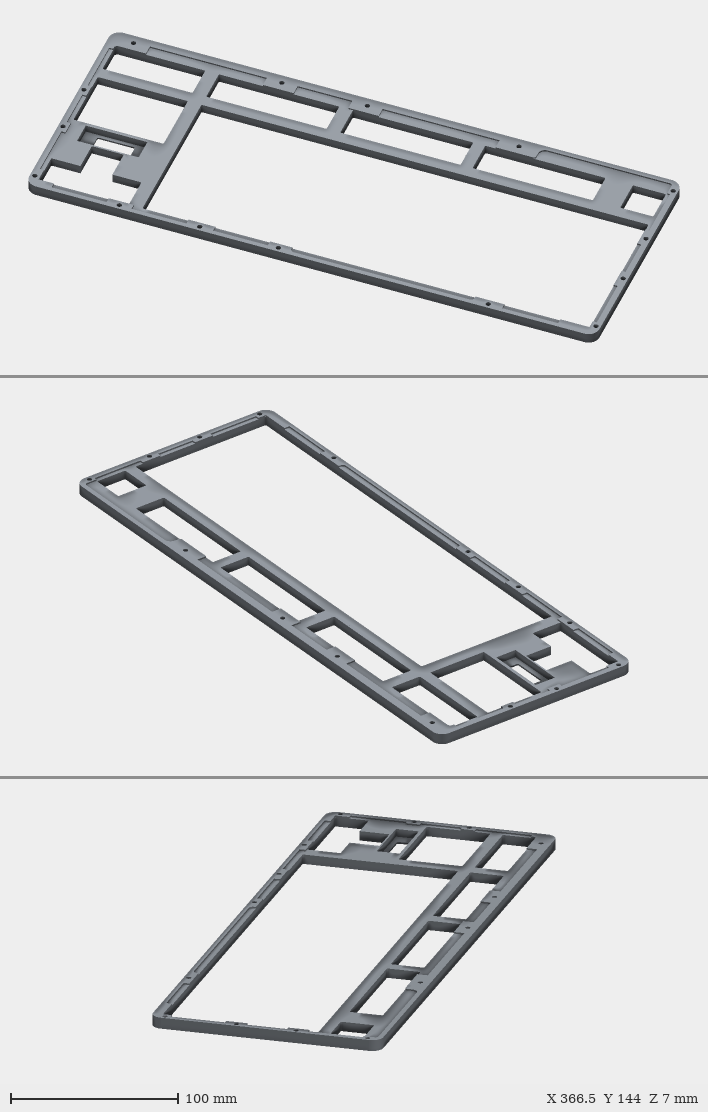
import cadquery as cq
LENGTH = 366.5
WIDTH = 144.0
THICKNESS = 7.0
CORNER_RADIUS = 7.0

STEP_DEPTH = 1.0
FLOOR_LEVEL = THICKNESS - STEP_DEPTH

INNER_LEFT = -177.0
INNER_RIGHT = 177.0
INNER_TOP = 60.0
INNER_BOTTOM = -65.5
INNER_CORNER_RADIUS = 2.2

UPPER_BAR_TOP = 39.2
UPPER_BAR_BOTTOM = 31.5
WINDOW_CORNER_RADIUS = 0.7
COLUMN_LEFT = -119.0
COLUMN_RIGHT = -110.3
UPPER_WINDOWS = [
    (INNER_LEFT, COLUMN_LEFT),
    (COLUMN_RIGHT, -33.0),
    (-24.2, 53.0),
    (61.0, 138.0),
    (155.7, INNER_RIGHT),
]

ISLAND_TOP = -8.5
ISLAND_BOTTOM = -44.7
NOTCH_LEFT, NOTCH_RIGHT, NOTCH_TOP = -158.3, -137.8, -26.0
RECESS_LEFT, RECESS_RIGHT = -168.2, -128.5
RECESS_BOTTOM, RECESS_TOP = -25.0, -10.5
RECESS_FLOOR = 1.0
SLOT_LEFT, SLOT_RIGHT = -159.8, -135.5
SLOT_BOTTOM, SLOT_TOP = -21.5, -13.0
SLOT_CORNER_RADIUS = 1.0

POCKET_TOP = 66.7
POCKET_BOTTOM = -69.3
POCKET_LEFT = -179.5
POCKET_RIGHT = 179.5
TOP_POCKETS = [(-157.2, -82.0), (-62.3, -27.0), (-7.7, 67.5)]
BOTTOM_POCKETS = [(-167.0, -132.0), (-115.8, -80.5), (-63.5, -28.2), (122.5, 158.3)]
LONG_POCKET = (-14.0, 103.7)
LONG_POCKET_RADIUS = 2.2
LEFT_POCKETS = [(21.5, 56.8), (-13.0, 13.0), (-56.8, -21.5)]
RIGHT_POCKETS = [(26.0, INNER_TOP), (-13.0, 13.0), (-60.0, -26.0)]
CORNER_POCKET_LEFT, CORNER_POCKET_RIGHT = 93.0, 177.7
CORNER_POCKET_TOP = 69.0
CORNER_POCKET_LEFT_RADIUS = 4.5
CORNER_POCKET_RIGHT_RADIUS = 2.0
CORNER_POCKET_FLARE = 1.5

HOLE_DIAMETER = 3.2
HOLE_DEPTH = 4.5
TOP_HOLE_Y = 66.0
BOTTOM_HOLE_Y = -69.0
LEFT_HOLE_X = -180.3
RIGHT_HOLE_X = 180.3
HOLES = [(x, TOP_HOLE_Y) for x in (-167.5, -72.2, -17.2, 80.3)]
HOLES += [(x, BOTTOM_HOLE_Y) for x in (-124.0, -72.2, -21.5, 113.2)]
HOLES += [(LEFT_HOLE_X, y) for y in (17.2, -17.2, -63.5)]
HOLES += [(RIGHT_HOLE_X, y) for y in (63.5, 18.7, -18.7, -63.5)]


def block(left, right, bottom, top, z_low=0.0, z_high=THICKNESS):
    """Box given by its limits along X, Y and Z."""
    size = (right - left, top - bottom, z_high - z_low)
    return cq.Workplane("XY").box(*size, centered=False).translate((left, bottom, z_low))


def step(left, right, bottom, top):
    """Cutter that lowers an area of the rim to the floor level."""
    return block(left, right, bottom, top, FLOOR_LEVEL)


def rim_opening(z_low):
    """Area enclosed by the raised rim, from the given level up to the top."""
    opening = block(INNER_LEFT, INNER_RIGHT, INNER_BOTTOM, INNER_TOP, z_low)
    return opening.edges("|Z and <X and >Y").fillet(INNER_CORNER_RADIUS)


def make_frame():
    body = block(-LENGTH / 2, LENGTH / 2, -WIDTH / 2, WIDTH / 2)
    body = body.edges("|Z").fillet(CORNER_RADIUS)
    return body.cut(rim_opening(FLOOR_LEVEL))


def cut_windows(body):
    windows = [(left, right, UPPER_BAR_TOP, INNER_TOP) for left, right in UPPER_WINDOWS]
    windows += [
        (COLUMN_RIGHT, INNER_RIGHT, INNER_BOTTOM, UPPER_BAR_BOTTOM),
        (INNER_LEFT, COLUMN_LEFT, ISLAND_TOP, UPPER_BAR_BOTTOM),
        (INNER_LEFT, COLUMN_LEFT, INNER_BOTTOM, ISLAND_BOTTOM),
    ]
    for limits in windows:
        window = block(*limits).edges("|Z").fillet(WINDOW_CORNER_RADIUS)
        body = body.cut(window.intersect(rim_opening(0.0)))
    return body


def cut_island(body):
    notch = block(NOTCH_LEFT, NOTCH_RIGHT, ISLAND_BOTTOM, NOTCH_TOP)
    recess = block(RECESS_LEFT, RECESS_RIGHT, RECESS_BOTTOM, RECESS_TOP, RECESS_FLOOR)
    slot = block(SLOT_LEFT, SLOT_RIGHT, SLOT_BOTTOM, SLOT_TOP)
    slot = slot.edges("|Z").fillet(SLOT_CORNER_RADIUS)
    return body.cut(notch).cut(recess).cut(slot)


def make_corner_pocket():
    """Upper right pocket; its left end flares out where it meets the opening."""
    left, right, top = CORNER_POCKET_LEFT, CORNER_POCKET_RIGHT, CORNER_POCKET_TOP
    return (
        cq.Workplane("XY", origin=(0, 0, FLOOR_LEVEL))
        .moveTo(left - CORNER_POCKET_FLARE, INNER_TOP)
        .radiusArc((left, INNER_TOP + CORNER_POCKET_FLARE), -CORNER_POCKET_FLARE)
        .lineTo(left, top - CORNER_POCKET_LEFT_RADIUS)
        .radiusArc((left + CORNER_POCKET_LEFT_RADIUS, top), CORNER_POCKET_LEFT_RADIUS)
        .lineTo(right - CORNER_POCKET_RIGHT_RADIUS, top)
        .radiusArc((right, top - CORNER_POCKET_RIGHT_RADIUS), CORNER_POCKET_RIGHT_RADIUS)
        .lineTo(right, INNER_TOP)
        .close()
        .extrude(STEP_DEPTH)
    )


def cut_pockets(body):
    for left, right in TOP_POCKETS:
        body = body.cut(step(left, right, INNER_TOP, POCKET_TOP))
    for left, right in BOTTOM_POCKETS:
        body = body.cut(step(left, right, POCKET_BOTTOM, INNER_BOTTOM))
    for bottom, top in LEFT_POCKETS:
        body = body.cut(step(POCKET_LEFT, INNER_LEFT, bottom, top))
    for bottom, top in RIGHT_POCKETS:
        body = body.cut(step(INNER_RIGHT, POCKET_RIGHT, bottom, top))

    long_pocket = step(*LONG_POCKET, POCKET_BOTTOM, INNER_BOTTOM)
    long_pocket = long_pocket.edges("|Z and <Y").fillet(LONG_POCKET_RADIUS)
    return body.cut(long_pocket).cut(make_corner_pocket())


def cut_holes(body):
    drills = (
        cq.Workplane("XY", origin=(0, 0, THICKNESS - HOLE_DEPTH))
        .pushPoints(HOLES)
        .circle(HOLE_DIAMETER / 2)
        .extrude(HOLE_DEPTH)
    )
    return body.cut(drills)


result = cut_holes(cut_pockets(cut_island(cut_windows(make_frame()))))